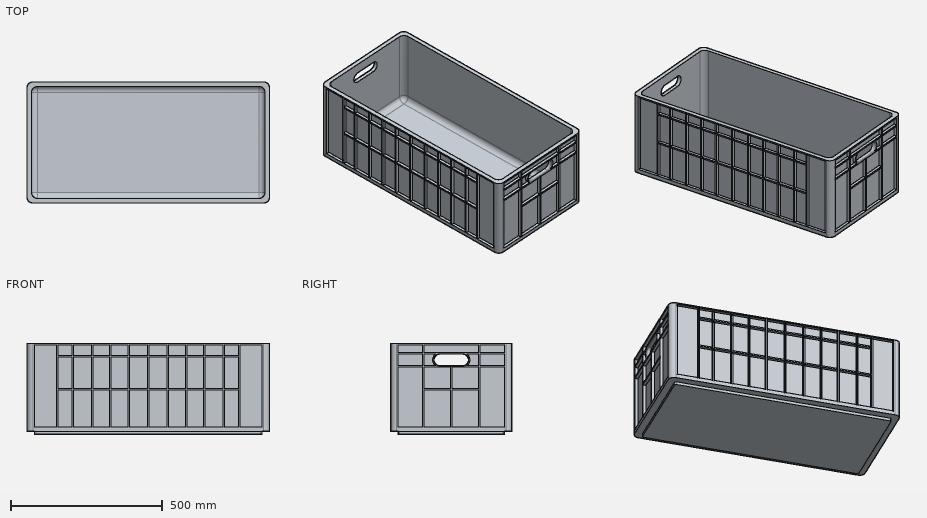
import cadquery as cq

length = 800.0
width = 400.0
height = 300.0
corner_radius = 20.0
wall = 15.0

foot_height = 10.0
foot_corner_radius = 5.0

floor_thickness = 30.0
inner_radius = 20.0

rib_width = 5.0
recess_depth = 10.0
bottom_band = 14.0
mid_rib_drop = 150.0

long_rib_offsets = [65.0, 125.0, 185.0, 250.0, 300.0]
long_upper_rib_drop = 42.0

short_rib_offset = 92.0

handle_drop = 54.0
handle_height = 38.0
handle_length = 113.0
rim_edge_radius = 2.0
rim_height = handle_height + 2 * rib_width
rim_length = handle_length + 2 * rib_width
handle_rib_spacing = (rim_height - rib_width) / 2

edge_margin = corner_radius + rib_width
panel_top = height - rib_width
panel_bottom = foot_height + bottom_band
mid_rib_z = height - mid_rib_drop
handle_z = height - handle_drop


def rounded_block(size_x, size_y, z_bottom, z_top, radius):
    """Upright block centred on the Z axis with rounded vertical edges."""
    block = cq.Workplane("XY", origin=(0, 0, z_bottom)).rect(size_x, size_y).extrude(z_top - z_bottom)
    return block.edges("|Z").fillet(radius)


def spans_between(low, high, rib_centres):
    """Clear spans from low to high with a rib taken out at each centre."""
    starts = [low] + [centre + rib_width / 2 for centre in rib_centres]
    ends = [centre - rib_width / 2 for centre in rib_centres] + [high]
    return list(zip(starts, ends))


def grid(columns, rows):
    """Every panel (column, row) of a rectangular grid."""
    return [(column, row) for column in columns for row in rows]


def recess_cutter(panels, wall_length, wall_distance):
    """Panel recesses for the wall facing -Y at the given distance from the centre."""
    cutter = cq.Workplane("XY")
    for (left, right), (bottom, top) in panels:
        panel = cq.Workplane("XY").box(right - left, recess_depth, top - bottom, centered=False)
        position = (left - wall_length / 2, -wall_distance, bottom)
        cutter = cutter.add(panel.translate(position))
    return cutter.combine()


def handle_slot(slot_length, slot_height):
    """Slot running through both short walls."""
    plane = cq.Workplane("YZ", origin=(0, 0, handle_z))
    return plane.slot2D(slot_length, slot_height).extrude(length / 2, both=True)


def hole_rim_edges(end_x):
    """Selector for the outline of the hand hole on the outer face at end_x."""
    margin = rim_edge_radius / 2
    reach_y = handle_length / 2 + margin
    reach_z = handle_height / 2 + margin
    low_corner = (end_x - margin, -reach_y, handle_z - reach_z)
    high_corner = (end_x + margin, reach_y, handle_z + reach_z)
    return cq.selectors.BoxSelector(low_corner, high_corner, boundingbox=True)


def long_wall_recesses():
    """Recesses of the -Y wall: plain end panels and a ribbed middle."""
    middle = length / 2
    centres = [middle - offset for offset in reversed(long_rib_offsets)]
    centres += [middle]
    centres += [middle + offset for offset in long_rib_offsets]
    columns = spans_between(edge_margin, length - edge_margin, centres)
    rows = spans_between(panel_bottom, panel_top, [mid_rib_z, height - long_upper_rib_drop])
    panels = grid([columns[0], columns[-1]], [(panel_bottom, panel_top)])
    panels += grid(columns[1:-1], rows)
    return recess_cutter(panels, length, width / 2)


def short_wall_recesses():
    """Recesses of the -X wall, leaving the hand-hole rim standing."""
    middle = width / 2
    centres = [middle - short_rib_offset, middle + short_rib_offset]
    left, centre, right = spans_between(edge_margin, width - edge_margin, centres)
    handle_ribs = [handle_z - handle_rib_spacing, handle_z + handle_rib_spacing]
    lower, handle_row, upper = spans_between(panel_bottom, panel_top, handle_ribs)
    panels = grid([left, right], [lower, handle_row, upper])
    panels += grid([centre], [handle_row, upper])
    panels += grid(spans_between(*centre, [middle]), spans_between(*lower, [mid_rib_z]))
    cutter = recess_cutter(panels, width, length / 2)
    return cutter.rotate((0, 0, 0), (0, 0, 1), -90).cut(handle_slot(rim_length, rim_height))


body = rounded_block(length, width, foot_height, height, corner_radius)
foot = rounded_block(
    length - 2 * edge_margin, width - 2 * edge_margin, 0, foot_height, foot_corner_radius
)
result = body.union(foot)

cavity = cq.Workplane("XY", origin=(0, 0, floor_thickness))
cavity = cavity.rect(length - 2 * wall, width - 2 * wall).extrude(height - floor_thickness)
cavity = cavity.edges("|Z or <Z").fillet(inner_radius)
result = result.cut(cavity)

for recesses, mirror_plane in [(long_wall_recesses(), "XZ"), (short_wall_recesses(), "YZ")]:
    result = result.cut(recesses).cut(recesses.mirror(mirror_plane))

result = result.cut(handle_slot(handle_length, handle_height))
for end_x in (-length / 2, length / 2):
    result = result.edges(hole_rim_edges(end_x)).fillet(rim_edge_radius)